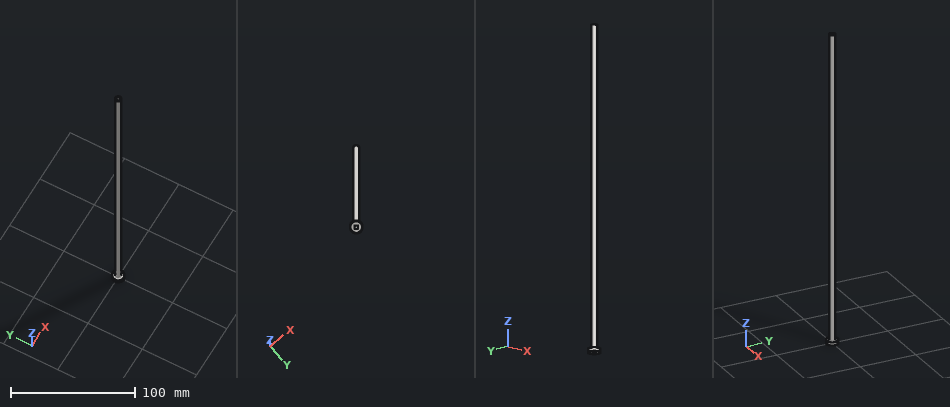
import cadquery as cq

TOTAL_LENGTH = 275.0
HEAD_DIAMETER = 10.0
HEAD_THICKNESS = 3.0
SHAFT_DIAMETER = 5.0
BORE_DIAMETER = 3.2
NECK_FILLET_RADIUS = 0.2

HEAD_RADIUS = HEAD_DIAMETER / 2
SHAFT_RADIUS = SHAFT_DIAMETER / 2
BORE_RADIUS = BORE_DIAMETER / 2


def sleeve_profile():
    """Half section of the sleeve wall: X is the radius, local Y is the height.

    A concave fillet joins the upper face of the head to the shaft.
    """
    fillet_outer_radius = SHAFT_RADIUS + NECK_FILLET_RADIUS
    fillet_top = HEAD_THICKNESS + NECK_FILLET_RADIUS
    return (
        cq.Workplane("XZ")
        .moveTo(BORE_RADIUS, 0)
        .lineTo(HEAD_RADIUS, 0)
        .lineTo(HEAD_RADIUS, HEAD_THICKNESS)
        .lineTo(fillet_outer_radius, HEAD_THICKNESS)
        .radiusArc((SHAFT_RADIUS, fillet_top), NECK_FILLET_RADIUS)
        .lineTo(SHAFT_RADIUS, TOTAL_LENGTH)
        .lineTo(BORE_RADIUS, TOTAL_LENGTH)
        .close()
    )


result = sleeve_profile().revolve(360, (0, 0), (0, 1))